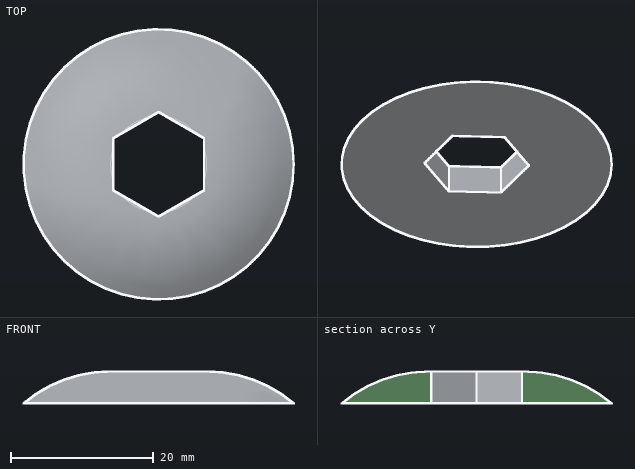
import cadquery as cq
import math

outer_diameter = 38.0
height = 4.5
flat_top_diameter = 13.5
hex_across_flats = 12.7

outer_radius = outer_diameter / 2
flat_radius = flat_top_diameter / 2
hex_corner_diameter = hex_across_flats / math.cos(math.pi / 6)
hex_corner_angle = 90.0


def domed_disc():
    """Flat-bottomed disc whose flat top runs tangentially into a rounded flank."""
    flank_span = outer_radius - flat_radius
    flank_radius = (flank_span**2 + height**2) / (2 * height)
    half_sweep = math.asin(flank_span / flank_radius) / 2
    flank_middle = (
        flat_radius + flank_radius * math.sin(half_sweep),
        height - flank_radius * (1 - math.cos(half_sweep)),
    )
    profile = (
        cq.Workplane("XZ")
        .lineTo(outer_radius, 0)
        .threePointArc(flank_middle, (flat_radius, height))
        .lineTo(0, height)
        .close()
    )
    return profile.revolve(360, (0, 0, 0), (0, 1, 0))


def hex_bore():
    """Hexagonal prism that cuts through the full height."""
    prism = cq.Workplane("XY").polygon(6, hex_corner_diameter).extrude(height)
    return prism.rotate((0, 0, 0), (0, 0, 1), hex_corner_angle)


result = domed_disc().cut(hex_bore())